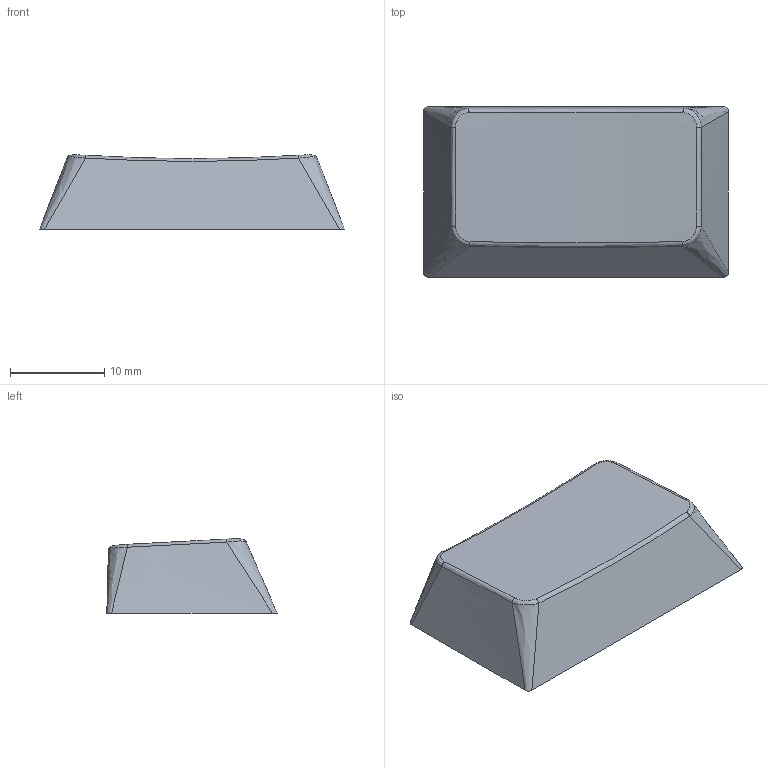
import cadquery as cq
import math

BASE_LENGTH = 32.39
BASE_WIDTH = 18.1
BASE_CORNER_RADIUS = 0.5

TOP_LENGTH = 26.3
TOP_WIDTH = 14.45
TOP_CORNER_RADIUS = 2.1
TOP_CENTER_Y = 1.66
TOP_CENTER_Z = 7.65
TOP_TILT_DEG = 3.0

DISH_CHORD = TOP_LENGTH + 1.0
DISH_DEPTH = 0.52
DISH_RUN = 2 * BASE_WIDTH

RIM_FILLET = 0.5


def make_top_plane():
    """Plane of the top outline, tilted about X."""
    tilt = math.radians(TOP_TILT_DEG)
    return cq.Plane(
        origin=(0, TOP_CENTER_Y, TOP_CENTER_Z),
        xDir=(1, 0, 0),
        normal=(0, math.sin(tilt), math.cos(tilt)),
    )


def rounded_outline(plane, length, width, corner_radius):
    """Rounded rectangle wire centred on the plane origin."""
    face = cq.Face.makeFromWires(cq.Workplane(plane).rect(length, width).val())
    return face.fillet2D(corner_radius, face.Vertices()).outerWire()


def make_body(top_plane):
    """Straight-ruled walls between the base outline and the tilted top outline."""
    base = rounded_outline(cq.Plane.XY(), BASE_LENGTH, BASE_WIDTH, BASE_CORNER_RADIUS)
    top = rounded_outline(top_plane, TOP_LENGTH, TOP_WIDTH, TOP_CORNER_RADIUS)
    return cq.Workplane(cq.Solid.makeLoft([base, top], True))


def make_dish(top_plane):
    """Cylinder whose lowest line is sunk into the top plane by the dish depth."""
    half_chord = DISH_CHORD / 2
    radius = (half_chord**2 + DISH_DEPTH**2) / (2 * DISH_DEPTH)
    start = top_plane.toWorldCoords((0, -DISH_RUN / 2, radius - DISH_DEPTH))
    return cq.Workplane(cq.Solid.makeCylinder(radius, DISH_RUN, start, top_plane.yDir))


def round_rim(body):
    """Fillet the full edge loop of the dished top face."""
    return body.faces(">Z").edges().fillet(RIM_FILLET)


keycap_top_plane = make_top_plane()
dished_body = make_body(keycap_top_plane).cut(make_dish(keycap_top_plane))
result = round_rim(dished_body)